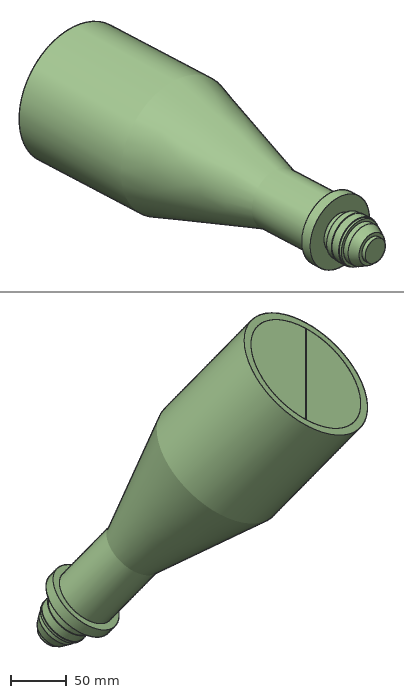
import cadquery as cq

length = 392.7
body_radius = 138.0 / 2
body_end = 133.0
neck_radius = 30.0
neck_start = 263.0
flange_radius = 37.0
flange_start = 335.5
flange_end = 346.5

stem_radius = 19.5
stem_end = 354.0
collar_radius = 23.5
collar_end = 373.0
ring_radius = 24.5
ring_start = 361.0
ring_end = 370.5
nose_radius = 21.0
taper_start = 379.0
taper_end = 388.5
taper_tip_radius = 16.0
tip_radius = 12.5

window_radius = 61.3
window_recess = 0.08
bar_width = 1.0


def turned_body():
    """Revolve the half outline around the X axis."""
    outline = (
        cq.Workplane("XY")
        .lineTo(0, body_radius)
        .lineTo(body_end, body_radius)
        .lineTo(neck_start, neck_radius)
        .lineTo(flange_start, neck_radius)
        .lineTo(flange_start, flange_radius)
        .lineTo(flange_end, flange_radius)
        .lineTo(flange_end, stem_radius)
        .lineTo(stem_end, stem_radius)
        .lineTo(stem_end, collar_radius)
        .lineTo(ring_start, collar_radius)
        .lineTo(ring_start, ring_radius)
        .lineTo(ring_end, ring_radius)
        .lineTo(ring_end, collar_radius)
        .lineTo(collar_end, collar_radius)
        .lineTo(collar_end, nose_radius)
        .lineTo(taper_start, nose_radius)
        .lineTo(taper_end, taper_tip_radius)
        .lineTo(taper_end, tip_radius)
        .lineTo(length, tip_radius)
        .lineTo(length, 0)
        .close()
    )
    return outline.revolve(360, (0, 0, 0), (1, 0, 0))


def window_recesses():
    """Two half discs, one on each side of the upright bar."""
    disc = cq.Workplane("YZ").circle(window_radius).extrude(window_recess)
    bar = cq.Workplane("YZ").rect(bar_width, 2 * window_radius).extrude(window_recess)
    return disc.cut(bar)


result = turned_body().cut(window_recesses())